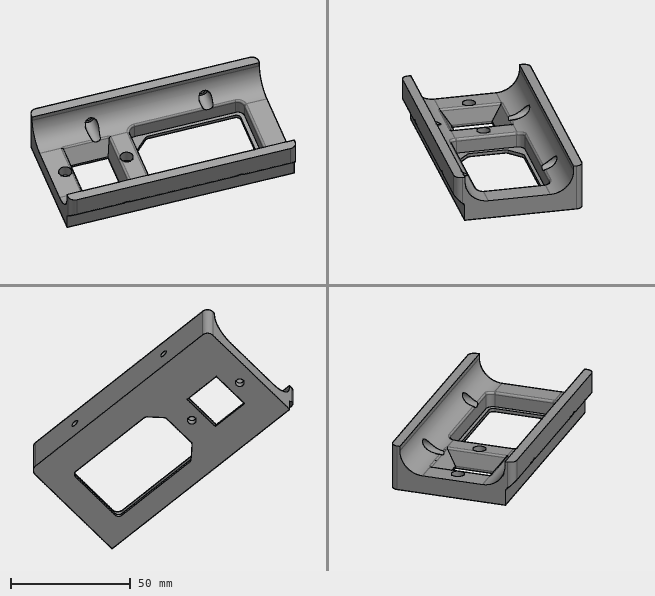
import cadquery as cq

width = 55.0
length = 100.0
height = 20.0
corner_radius = 3.0

trough_half_width = 23.3
trough_radius = 10.0
floor_height = 8.0

undercut_half_width = 23.5
undercut_height = 7.0

pocket_width = 31.6
pocket_y_min = -10.5
pocket_y_max = 40.0
pocket_corner_radius = 3.0
pocket_rim_fillet = 1.0
ledge_height = 1.5
opening_width = 28.5
opening_y_min = -8.8
opening_y_max = 38.2
opening_corner_cut = 6.0
opening_corner_radius = 2.0

small_window_y = -29.6
small_bottom_width = 17.5
small_bottom_length = 16.4
small_top_width = 26.6
small_top_length = 20.4
small_lip_height = 1.0
small_rim_fillet = 1.0

rim_margin = 0.1
rim_rise = 1.0

floor_hole_pitch = 27.0
floor_hole_diameter = 3.6
head_diameter = 5.5
floor_head_depth = 5.0
side_hole_pitch = 50.0
side_hole_height = 10.0
side_hole_diameter = 3.2
side_head_wall = 3.0


def block(x_size, y_min, y_max, z_min, z_max):
    """Box centred in X, placed by its limits in Y and Z."""
    return (
        cq.Workplane("XY")
        .box(x_size, y_max - y_min, z_max - z_min, centered=(True, False, False))
        .translate((0, y_min, z_min))
    )


def make_body():
    body = block(width, -length / 2, length / 2, 0, height)
    return body.edges("|Z").fillet(corner_radius)


def make_trough():
    trough = block(2 * trough_half_width, -length / 2, length / 2, floor_height, 2 * height)
    return trough.edges("|Y and <Z").fillet(trough_radius)


def make_undercut():
    half_width = width / 2
    slope = half_width - undercut_half_width
    return (
        cq.Workplane("XZ")
        .moveTo(undercut_half_width, 0)
        .lineTo(undercut_half_width, undercut_height)
        .lineTo(half_width, undercut_height + slope)
        .lineTo(half_width, 0)
        .close()
        .extrude(length / 2, both=True)
    )


def make_pocket():
    pocket = block(pocket_width, pocket_y_min, pocket_y_max, ledge_height, height)
    return pocket.edges("|Z").fillet(pocket_corner_radius)


def make_opening():
    opening = block(opening_width, opening_y_min, opening_y_max, 0, height)
    opening = opening.edges("|Z and <Y").chamfer(opening_corner_cut)
    return opening.edges("|Z").fillet(opening_corner_radius)


def make_small_window():
    taper = (
        cq.Workplane("XY", origin=(0, small_window_y, small_lip_height))
        .rect(small_bottom_width, small_bottom_length)
        .workplane(offset=floor_height - small_lip_height)
        .rect(small_top_width, small_top_length)
        .loft(combine=True)
    )
    y_min = small_window_y - small_bottom_length / 2
    lip = block(small_bottom_width, y_min, y_min + small_bottom_length, 0, small_lip_height)
    return taper.union(lip)


def drill_floor_hole(part, y):
    hole_start = cq.Workplane("XY", origin=(0, y, 0))
    hole = hole_start.circle(floor_hole_diameter / 2).extrude(floor_height)
    head = (
        hole_start.workplane(offset=floor_height - floor_head_depth)
        .circle(head_diameter / 2)
        .extrude(floor_head_depth)
    )
    return part.cut(hole).cut(head)


def drill_side_hole(part, y):
    """Drill through both walls; the screw head sits inside the -X wall."""
    start_x = -width / 2
    hole = (
        cq.Workplane("YZ", origin=(start_x, y, side_hole_height))
        .circle(side_hole_diameter / 2)
        .extrude(width)
    )
    head = (
        cq.Workplane("YZ", origin=(start_x + side_head_wall, y, side_hole_height))
        .circle(head_diameter / 2)
        .extrude(width / 2 - side_head_wall)
    )
    return part.cut(hole).cut(head)


def round_rim(part, rim_width, y_min, y_max, radius):
    """Round the edges of a window where it meets the trough surface."""
    rim = cq.selectors.BoxSelector(
        (-rim_width, y_min - rim_margin, floor_height - rim_margin),
        (rim_width, y_max + rim_margin, floor_height + rim_rise),
    )
    return part.edges(rim).fillet(radius)


result = make_body().cut(make_trough()).cut(make_undercut())

result = result.cut(make_pocket())
result = round_rim(result, pocket_width, pocket_y_min, pocket_y_max, pocket_rim_fillet)
result = result.cut(make_opening())

result = result.cut(make_small_window())
small_rim_y_min = small_window_y - small_top_length / 2
small_rim_y_max = small_window_y + small_top_length / 2
result = round_rim(result, small_top_width, small_rim_y_min, small_rim_y_max, small_rim_fillet)

for side in (-1, 1):
    result = drill_floor_hole(result, small_window_y + side * floor_hole_pitch / 2)
    result = drill_side_hole(result, side * side_hole_pitch / 2)